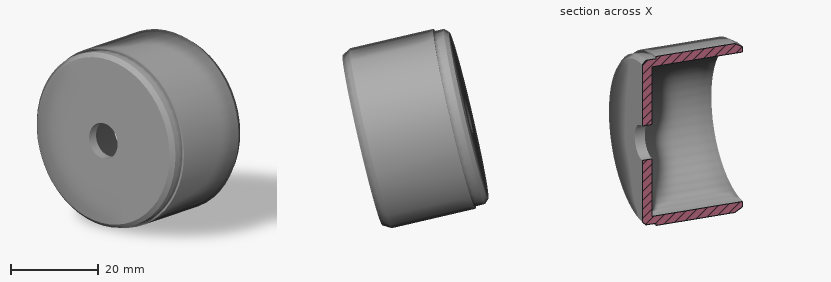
import cadquery as cq
import math

outer_diameter = 42.4
length = 25.0
spigot_diameter = 41.3
spigot_length = 3.35
front_chamfer = 0.98
back_chamfer_length = 2.0
back_chamfer_angle = math.radians(30)
hole_diameter = 8.5
front_wall = 2.5
cavity_diameter = 37.3

outer_radius = outer_diameter / 2
spigot_radius = spigot_diameter / 2
hole_radius = hole_diameter / 2
cavity_radius = cavity_diameter / 2
back_face_radius = outer_radius - back_chamfer_length * math.tan(back_chamfer_angle)

section = [
    (hole_radius, 0),
    (spigot_radius - front_chamfer, 0),
    (spigot_radius, front_chamfer),
    (spigot_radius, spigot_length),
    (outer_radius, spigot_length),
    (outer_radius, length - back_chamfer_length),
    (back_face_radius, length),
    (cavity_radius, length),
    (cavity_radius, front_wall),
    (hole_radius, front_wall),
]

result = cq.Workplane("XY").polyline(section).close().revolve(360, (0, 0, 0), (0, 1, 0))